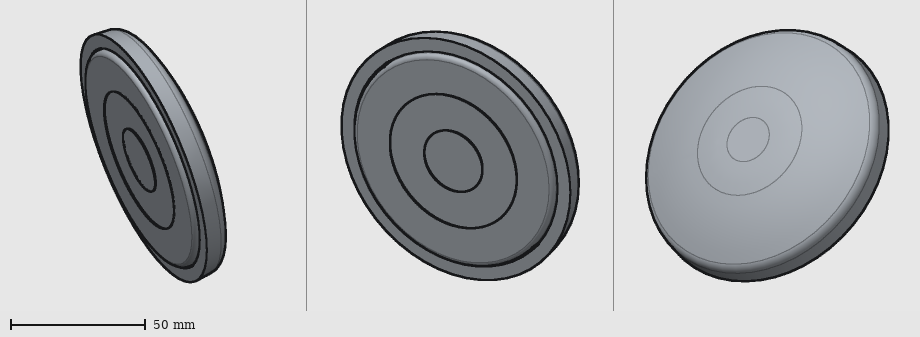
import cadquery as cq
import math


rim_radius = 49.5
wall_height = 6.3
wall_draft = math.radians(5.0)
shoulder_radius = 4.0
shoulder_end_slope = math.radians(24.5)
dome_top_radius = 22.0
dome_top_height = 16.8
crown_flat_radius = 8.9
cover_height = 18.0

base_radius = 43.5
base_clearance = 0.5
base_protrusion = 2.0
base_edge_fillet = base_protrusion
base_seat_depth = wall_height
groove_outer_radius = 27.4
groove_inner_radius = 12.6
groove_depth = 0.4


def revolve_about_y(profile):
    """Turn a closed XY half profile into a round solid about the Y axis."""
    return profile.close().revolve(360, (0, 0, 0), (0, 1, 0))


def make_cover():
    """Domed cover with a drafted rim, a rounded shoulder and a seat for the base plate."""
    seat_radius = base_radius + base_clearance
    wall_top_radius = rim_radius - wall_height * math.tan(wall_draft)
    shoulder_center_radius = wall_top_radius - shoulder_radius * math.cos(wall_draft)
    shoulder_center_height = wall_height - shoulder_radius * math.sin(wall_draft)
    shoulder_end = (
        shoulder_center_radius + shoulder_radius * math.sin(shoulder_end_slope),
        shoulder_center_height + shoulder_radius * math.cos(shoulder_end_slope),
    )
    crown_drop = cover_height - dome_top_height
    crown_width = dome_top_radius - crown_flat_radius
    crown_arc_radius = (crown_width**2 + crown_drop**2) / (2 * crown_drop)
    crown_half_angle = math.asin(crown_width / crown_arc_radius) / 2
    crown_middle = (
        crown_flat_radius + crown_arc_radius * math.sin(crown_half_angle),
        cover_height - crown_arc_radius * (1 - math.cos(crown_half_angle)),
    )
    profile = (
        cq.Workplane("XY")
        .moveTo(0, base_seat_depth)
        .lineTo(seat_radius, base_seat_depth)
        .lineTo(seat_radius, 0)
        .lineTo(rim_radius, 0)
        .lineTo(wall_top_radius, wall_height)
        .tangentArcPoint(shoulder_end, relative=False)
        .tangentArcPoint((dome_top_radius, dome_top_height), relative=False)
        .threePointArc(crown_middle, (crown_flat_radius, cover_height))
        .lineTo(0, cover_height)
    )
    return revolve_about_y(profile)


def make_base():
    """Base plate with a rounded front edge and a shallow ring groove in its front face."""
    front = -base_protrusion
    groove_floor = front + groove_depth
    profile = (
        cq.Workplane("XY")
        .moveTo(0, base_seat_depth)
        .lineTo(0, front)
        .lineTo(groove_inner_radius, front)
        .lineTo(groove_inner_radius, groove_floor)
        .lineTo(groove_outer_radius, groove_floor)
        .lineTo(groove_outer_radius, front)
        .lineTo(base_radius - base_edge_fillet, front)
        .tangentArcPoint((base_radius, front + base_edge_fillet), relative=False)
        .lineTo(base_radius, base_seat_depth)
    )
    return revolve_about_y(profile)


cover = make_cover()
base = make_base()

result = cq.Compound.makeCompound([cover.val(), base.val()])